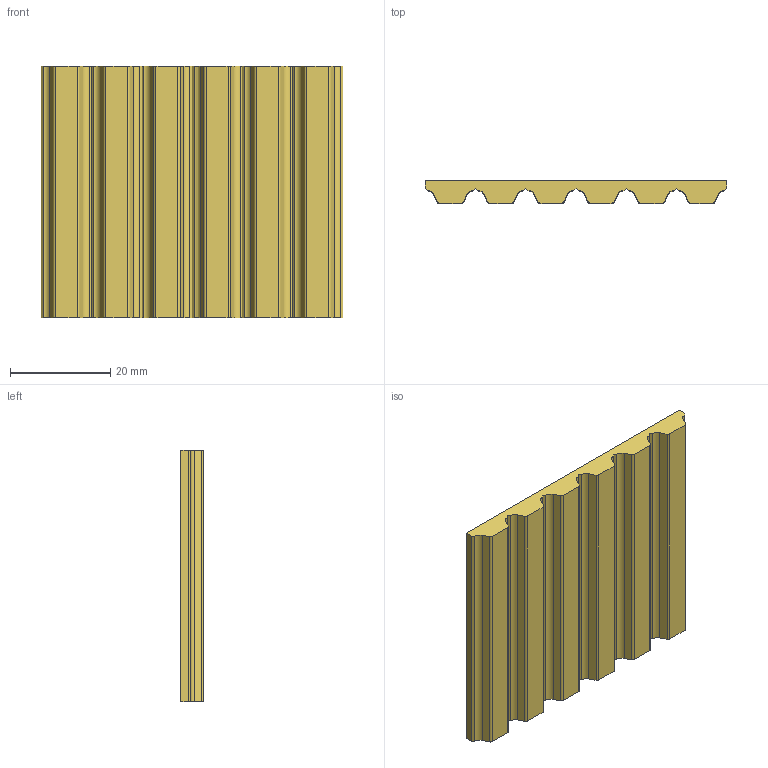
import math

import cadquery as cq

pitch = 10.0
tooth_count = 6
belt_height = 4.5
belt_width = 50.0
tooth_height = 2.5
tooth_tip_width = 5.0
flank_angle = math.radians(25)
tip_radius = 0.5
root_radius = 1.4

belt_length = pitch * tooth_count
back_y = belt_height / 2
tip_y = -belt_height / 2
root_y = tip_y + tooth_height

tip_corner = tooth_tip_width / 2
root_corner = tip_corner + tooth_height * math.tan(flank_angle)

turn_angle = math.pi / 2 - flank_angle
tip_tangent = tip_radius * math.tan(turn_angle / 2)
root_tangent = root_radius * math.tan(turn_angle / 2)

root_edge = root_corner + root_tangent
notch_half_width = pitch / 2 - root_edge
notch_depth = notch_half_width
notch_y = root_y + notch_depth

root_start = (root_edge, root_y)
root_middle = (
    root_edge - root_radius * math.sin(turn_angle / 2),
    root_y - root_radius * (1 - math.cos(turn_angle / 2)),
)
root_end = (
    root_corner - root_tangent * math.sin(flank_angle),
    root_y - root_tangent * math.cos(flank_angle),
)
tip_start = (
    tip_corner + tip_tangent * math.sin(flank_angle),
    tip_y + tip_tangent * math.cos(flank_angle),
)
tip_edge = tip_corner - tip_tangent
tip_middle = (
    tip_edge + tip_radius * math.sin(turn_angle / 2),
    tip_y + tip_radius * (1 - math.cos(turn_angle / 2)),
)
tip_end = (tip_edge, tip_y)


def add_tooth(outline, center_x):
    """Continue the outline over one tooth, from notch apex to notch apex."""

    def left(point):
        return (center_x - point[0], point[1])

    def right(point):
        return (center_x + point[0], point[1])

    return (
        outline.lineTo(*left(root_start))
        .threePointArc(left(root_middle), left(root_end))
        .lineTo(*left(tip_start))
        .threePointArc(left(tip_middle), left(tip_end))
        .lineTo(*right(tip_end))
        .threePointArc(right(tip_middle), right(tip_start))
        .lineTo(*right(root_end))
        .threePointArc(right(root_middle), right(root_start))
        .lineTo(center_x + pitch / 2, notch_y)
    )


def make_belt():
    """Extrude the toothed outline along Z, centred on the origin."""
    left_x = -belt_length / 2
    outline = cq.Workplane("XY", origin=(0, 0, -belt_width / 2))
    outline = outline.moveTo(left_x, back_y).lineTo(left_x, notch_y)
    for index in range(tooth_count):
        outline = add_tooth(outline, left_x + pitch / 2 + index * pitch)
    outline = outline.lineTo(belt_length / 2, back_y).close()
    return outline.extrude(belt_width)


result = make_belt()